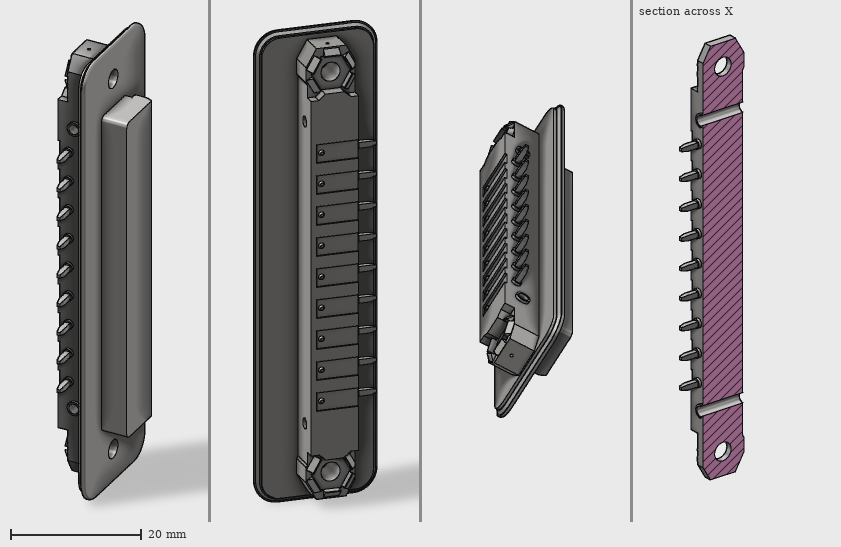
import cadquery as cq
import math


depth = 12.0
flange_width = 20.0
flange_length = 77.35

rear_x = -depth / 2
ridge_x = rear_x + 0.9
shoulder_x = rear_x + 1.7
flange_rear_x = rear_x + 6.0
flange_thickness = 1.55
flange_front_x = flange_rear_x + flange_thickness
front_x = depth / 2

corner_radius = 3.9
land_height = 0.5
ledge_width = 0.2
slope_height = 0.5
slope_inset = 0.5
land_inset = slope_inset + 2 * ledge_width
rim_radius = 0.4
rim_height = flange_thickness - land_height - slope_height

bar_width = 7.7
bar_center_y = -0.7
bar_right_y = bar_center_y - bar_width / 2
bar_left_y = bar_center_y + bar_width / 2

screw_z = 32.8
screw_hole_diameter = 3.1
lug_across_flats = 8.35
lug_left_y = 3.4
nut_across_flats = 5.6
nut_seat_depth = 0.3
tab_width = 2.55
tab_outer_radius = 3.95
tab_ridge_width = 0.15
tab_lean = 0.1
tab_angles = (30, 90, 150, 210, 330)
dimple_diameter = 0.5
dimple_x = rear_x + 3.4

block_half_length = 29.1
block_tongue_half_length = screw_z - nut_across_flats / 2
tongue_root_half_width = 2.6
tongue_tip_half_width = 1.55

contact_count = 9
contact_span = 40.7
contact_pitch = contact_span / (contact_count - 1)
slot_left_y = 2.25
slot_height = 3.0
slot_depth = 0.3
nub_y = 1.4
nub_diameter = 0.9
nub_tip_diameter = 0.5
pin_x = rear_x + 1.9
pin_width = 0.9
pin_tip_width = 0.55
pin_length = 3.5
pin_tip_length = 1.1
collar_diameter = 1.55
collar_height = 0.5

cross_hole_x = rear_x + 3.0
cross_hole_z = 24.75
cross_hole_diameter = 1.7
boss_diameter = 2.3

shell_half_length = 27.9
shell_radius = 0.9
latch_y = 4.1
latch_rear_x = rear_x + 8.8
latch_slope_length = 1.0
latch_slope_drop = 0.5


def rounded_slab(inset, start_x, height, growth=0.0):
    """Rounded rectangle inset from the flange outline, growing outward over its height."""
    taper = -math.degrees(math.atan2(growth, height))
    sketch = (
        cq.Sketch()
        .rect(flange_width - 2 * inset, flange_length - 2 * inset)
        .vertices()
        .fillet(corner_radius - inset)
    )
    return cq.Workplane("YZ", origin=(start_x, 0, 0)).placeSketch(sketch).extrude(height, taper=taper)


def box_between(x_range, y_range, z_range):
    """Axis-aligned box from its limits along each axis."""
    sizes = [high - low for low, high in (x_range, y_range, z_range)]
    return cq.Workplane().box(*sizes, centered=False).translate((x_range[0], y_range[0], z_range[0]))


def rod_down(x, z, diameter, start_y, length):
    """Round rod along -Y."""
    return cq.Workplane("XZ", origin=(x, start_y, z)).circle(diameter / 2).extrude(length)


def make_flange():
    slope_x = flange_rear_x + land_height
    land = rounded_slab(land_inset, flange_rear_x, land_height)
    slope = rounded_slab(slope_inset + ledge_width, slope_x, slope_height, slope_inset)
    rim = rounded_slab(0, slope_x + slope_height, rim_height)
    rim = rim.faces(">X").edges().fillet(rim_radius)
    return land.union(slope).union(rim)


def make_bar():
    base = box_between(
        (shoulder_x, flange_rear_x), (bar_right_y, bar_left_y), (-screw_z, screw_z)
    )
    upper_end = [
        (bar_left_y, block_half_length),
        (bar_center_y + tongue_root_half_width, block_half_length),
        (bar_center_y + tongue_tip_half_width, block_tongue_half_length),
        (bar_center_y - tongue_tip_half_width, block_tongue_half_length),
        (bar_center_y - tongue_root_half_width, block_half_length),
        (bar_right_y, block_half_length),
    ]
    lower_end = [(y, -z) for y, z in reversed(upper_end)]
    block = (
        cq.Workplane("YZ", origin=(rear_x, 0, 0))
        .polyline(upper_end + lower_end)
        .close()
        .extrude(shoulder_x - rear_x)
    )
    return base.union(block)


def hexagon(across_flats, height):
    """Hexagonal prism on the upper screw axis, running from the shoulder toward the flange."""
    return (
        cq.Workplane("YZ", origin=(shoulder_x, bar_center_y, screw_z))
        .polygon(6, across_flats / math.cos(math.radians(30)))
        .extrude(height)
    )


def make_upper_lug():
    """Hexagonal lug with five sloped tabs around the nut seat."""
    lug = hexagon(lug_across_flats, flange_rear_x - shoulder_x)
    tab_inner_radius = nut_across_flats / 2
    ridge_radius = tab_inner_radius + tab_lean
    tab = (
        cq.Workplane("XZ")
        .polyline([
            (shoulder_x, tab_inner_radius),
            (ridge_x, ridge_radius),
            (ridge_x, ridge_radius + tab_ridge_width),
            (shoulder_x, tab_outer_radius),
        ])
        .close()
        .extrude(tab_width / 2, both=True)
    )
    for angle in tab_angles:
        turned_tab = tab.rotate((0, 0, 0), (1, 0, 0), angle - 90)
        lug = lug.union(turned_tab.translate((0, bar_center_y, screw_z)))
    side_limits = box_between(
        (rear_x, front_x), (bar_right_y, lug_left_y), (screw_z - lug_across_flats, flange_length / 2)
    )
    dimple = cq.Workplane().sphere(dimple_diameter / 2)
    dimple = dimple.translate((dimple_x, bar_center_y, screw_z + lug_across_flats / 2))
    return lug.intersect(side_limits).cut(dimple)


def make_shell():
    """Mating block with rounded -Y edges and a latch ridge along its +Y side."""
    body = box_between(
        (flange_front_x, front_x), (bar_right_y, bar_left_y), (-shell_half_length, shell_half_length)
    )
    body = body.edges("|X and <Y").fillet(shell_radius)
    latch = (
        cq.Workplane("XY", origin=(0, 0, -shell_half_length))
        .polyline([
            (latch_rear_x, bar_left_y),
            (latch_rear_x, latch_y),
            (front_x - latch_slope_length, latch_y),
            (front_x, latch_y - latch_slope_drop),
            (front_x, bar_left_y),
        ])
        .close()
        .extrude(2 * shell_half_length)
    )
    return body.union(latch)


def make_slot(z):
    return box_between(
        (rear_x, rear_x + slot_depth),
        (bar_right_y, slot_left_y),
        (z - slot_height / 2, z + slot_height / 2),
    )


def make_nub(z):
    """Small cone standing on the slot floor, level with the block's rear face."""
    return (
        cq.Workplane("YZ", origin=(rear_x, nub_y, z))
        .circle(nub_tip_diameter / 2)
        .workplane(offset=slot_depth)
        .circle(nub_diameter / 2)
        .loft()
    )


def make_pin(z):
    """Square solder pin with a round root collar and a tapered tip."""
    collar = rod_down(pin_x, z, collar_diameter, bar_right_y, collar_height)
    shank_length = pin_length - pin_tip_length
    root = cq.Workplane("XZ", origin=(pin_x, bar_right_y, z))
    shank = root.rect(pin_width, pin_width).extrude(shank_length)
    tip = (
        root.workplane(offset=shank_length)
        .rect(pin_width, pin_width)
        .workplane(offset=pin_tip_length)
        .rect(pin_tip_width, pin_tip_width)
        .loft()
    )
    return collar.union(shank).union(tip)


upper_lug = make_upper_lug()
lower_lug = upper_lug.mirror("XY")
upper_nut_seat = hexagon(nut_across_flats, nut_seat_depth)
lower_nut_seat = upper_nut_seat.mirror("XY")
result = make_flange().union(make_bar()).union(upper_lug).union(lower_lug).union(make_shell())
result = result.cut(upper_nut_seat).cut(lower_nut_seat)

for index in range(contact_count):
    contact_z = (index - (contact_count - 1) / 2) * contact_pitch
    result = result.cut(make_slot(contact_z)).union(make_nub(contact_z)).union(make_pin(contact_z))

for side in (-1, 1):
    boss = rod_down(cross_hole_x, side * cross_hole_z, boss_diameter, bar_right_y, collar_height)
    cross_hole = rod_down(
        cross_hole_x, side * cross_hole_z, cross_hole_diameter, flange_width / 2, flange_width
    )
    screw_hole = (
        cq.Workplane("YZ", origin=(rear_x, bar_center_y, side * screw_z))
        .circle(screw_hole_diameter / 2)
        .extrude(depth)
    )
    result = result.union(boss).cut(cross_hole).cut(screw_hole)